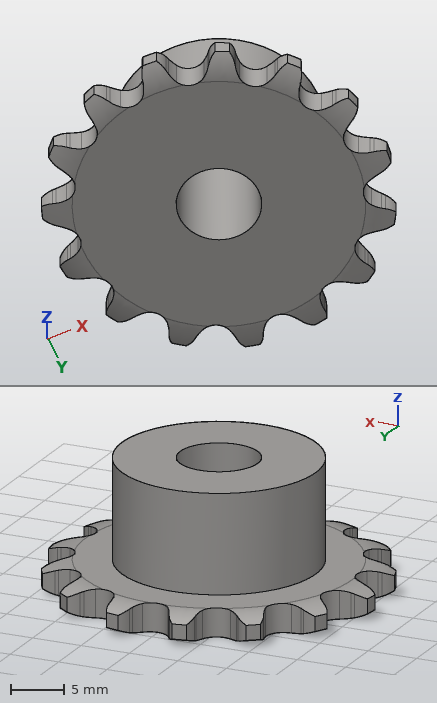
import cadquery as cq
import math

chain_pitch = 6.35
roller_diameter = 3.302
seat_oversize = 1.005
seat_clearance = 0.0762

tooth_count = 15
outer_diameter = 33.3
plate_thickness = 2.9
crown_start_diameter = 27.5
crown_radius = chain_pitch
hub_diameter = 20.0
total_height = 13.0
bore_diameter = 8.0

outer_radius = outer_diameter / 2
crown_start_radius = crown_start_diameter / 2
tooth_angle = 360 / tooth_count
half_tooth_angle = tooth_angle / 2
pitch_radius = chain_pitch / (2 * math.sin(math.radians(half_tooth_angle)))

seat_radius = (seat_oversize * roller_diameter + seat_clearance) / 2
flank_center_distance = 0.8 * roller_diameter
flank_radius = flank_center_distance + seat_radius
seat_end_angle = 35 + 60 / tooth_count
flank_arc_angle = 18 - 56 / tooth_count
topping_center_distance = 1.4 * roller_diameter

cutter_overrun = 2.0


def polar(center, radius, angle):
    """Point at a radius and angle (degrees from +X) around a centre."""
    radians = math.radians(angle)
    return (center[0] + radius * math.cos(radians), center[1] + radius * math.sin(radians))


def mirrored(point):
    """Point reflected in the centreline of the gap."""
    return (-point[0], point[1])


def crowned_blank():
    """Toothless plate whose rim is rounded on both faces."""
    crown_length = outer_radius - crown_start_radius
    crown_drop = crown_radius - math.sqrt(crown_radius**2 - crown_length**2)
    return (
        cq.Workplane("XZ")
        .lineTo(crown_start_radius, 0)
        .radiusArc((outer_radius, crown_drop), -crown_radius)
        .lineTo(outer_radius, plate_thickness - crown_drop)
        .radiusArc((crown_start_radius, plate_thickness), -crown_radius)
        .lineTo(0, plate_thickness)
        .close()
        .revolve(360, (0, 0, 0), (0, 1, 0))
    )


def tooth_gap():
    """Cutter for the gap between two teeth, centred on the +Y axis."""
    seat_center = (0, pitch_radius)
    seat_bottom = (0, pitch_radius - seat_radius)

    seat_end_direction = 180 + seat_end_angle
    flat_normal = seat_end_direction - flank_arc_angle
    flank_center = polar(seat_center, flank_center_distance, seat_end_angle)
    seat_end = polar(seat_center, seat_radius, seat_end_direction)
    flank_middle = polar(flank_center, flank_radius, seat_end_direction - flank_arc_angle / 2)
    flank_end = polar(flank_center, flank_radius, flat_normal)

    topping_center = polar(seat_center, topping_center_distance, 180 + half_tooth_angle)
    offset_x = topping_center[0] - flank_end[0]
    offset_y = topping_center[1] - flank_end[1]
    normal_x, normal_y = polar((0, 0), 1, flat_normal)
    topping_radius = offset_x * normal_x + offset_y * normal_y
    flat_end = polar(topping_center, topping_radius, flat_normal - 180)

    apex_reach = topping_center_distance - chain_pitch / 2
    apex_angle = math.degrees(math.acos(apex_reach / topping_radius))
    apex_direction = half_tooth_angle + apex_angle
    topping_middle_direction = (flat_normal - 180 + apex_direction) / 2
    topping_middle = polar(topping_center, topping_radius, topping_middle_direction)
    apex = polar(topping_center, topping_radius, apex_direction)
    cutter_corner = polar((0, 0), outer_radius + cutter_overrun, 90 + half_tooth_angle)

    return (
        cq.Workplane("XY")
        .moveTo(*seat_end)
        .threePointArc(flank_middle, flank_end)
        .lineTo(*flat_end)
        .threePointArc(topping_middle, apex)
        .lineTo(*cutter_corner)
        .lineTo(*mirrored(cutter_corner))
        .lineTo(*mirrored(apex))
        .threePointArc(mirrored(topping_middle), mirrored(flat_end))
        .lineTo(*mirrored(flank_end))
        .threePointArc(mirrored(flank_middle), mirrored(seat_end))
        .threePointArc(seat_bottom, seat_end)
        .close()
        .extrude(plate_thickness)
    )


def toothed_plate():
    """Crowned plate with the tooth gaps cut around it; one tooth points to -Y."""
    plate = crowned_blank()
    gap = tooth_gap()
    for index in range(tooth_count):
        plate = plate.cut(gap.rotate((0, 0, 0), (0, 0, 1), index * tooth_angle))
    return plate


hub = cq.Workplane("XY").circle(hub_diameter / 2).extrude(total_height)
bore = cq.Workplane("XY").circle(bore_diameter / 2).extrude(total_height)

result = toothed_plate().union(hub).cut(bore)